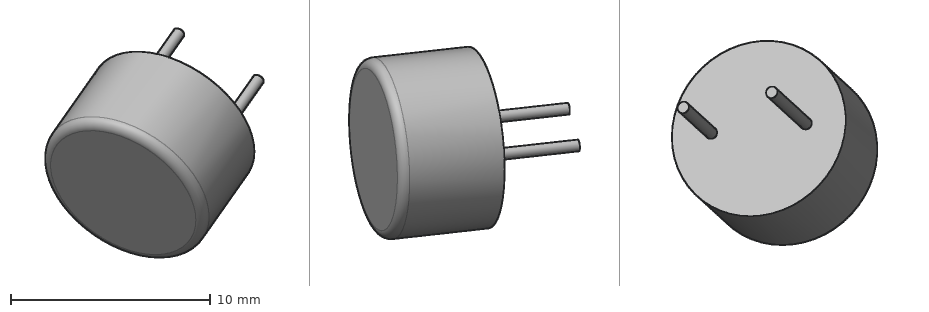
import cadquery as cq

can_diameter = 9.2
can_length = 5.5
front_edge_radius = 0.5

lead_diameter = 0.6
lead_spacing = 5.0
long_lead_length = 5.5
short_lead_length = 4.5


def make_can():
    """Can from the back face at Y = 0 towards -Y, with a rounded front edge."""
    can = cq.Workplane("XZ").circle(can_diameter / 2).extrude(can_length)
    return can.faces("<Y").edges().fillet(front_edge_radius)


def make_lead(x, length):
    """Round lead standing on the back face and pointing towards +Y."""
    return cq.Workplane("XZ").center(x, 0).circle(lead_diameter / 2).extrude(-length)


long_lead = make_lead(-lead_spacing / 2, long_lead_length)
short_lead = make_lead(lead_spacing / 2, short_lead_length)

result = make_can().union(long_lead).union(short_lead)